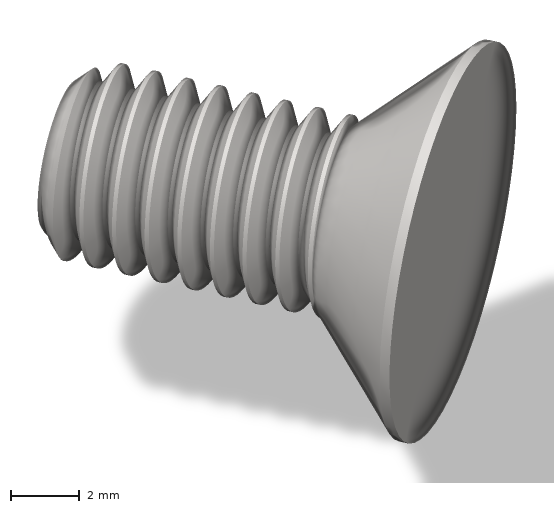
import cadquery as cq
import math

length = 12.0
head_radius = 6.0
rim_thickness = 0.3
major_radius = 3.0
root_radius = 2.35
tip_radius = 2.25

pitch = length / 12
crest_flat = pitch / 8
flank_angle = math.radians(30)
first_crest = 0.85
lead_in_turns = 2
ridge_embed = 0.04

shank_embed = 0.3
rim_start = length - rim_thickness
cone_start = rim_start - (head_radius - root_radius)
shank_end = rim_start - (head_radius - major_radius) + shank_embed


def revolve_about_x(profile):
    """Solid of revolution about X from (x, radius) points."""
    return cq.Workplane("XY").polyline(profile).close().revolve(360, (0, 0, 0), (1, 0, 0))


def make_head():
    """45 degree cone with a short cylindrical rim."""
    return revolve_about_x([
        (cone_start, 0),
        (cone_start, root_radius),
        (rim_start, head_radius),
        (length, head_radius),
        (length, 0),
    ])


def make_shank(radius):
    """Cylinder of the given radius with a 45 degree chamfer down to the tip."""
    return revolve_about_x([
        (0, 0),
        (0, tip_radius),
        (radius - tip_radius, radius),
        (shank_end, radius),
        (shank_end, 0),
    ])


def make_thread_ridge():
    """Helical trapezoid bounded by ruled faces between the helices of its corners."""
    ridge_start = first_crest - lead_in_turns * pitch
    ridge_length = shank_end + pitch / 2 - ridge_start
    foot_radius = root_radius - ridge_embed
    crest_half = crest_flat / 2
    foot_half = crest_half + (major_radius - foot_radius) * math.tan(flank_angle)
    corners = [
        (foot_radius, -foot_half),
        (major_radius, -crest_half),
        (major_radius, crest_half),
        (foot_radius, foot_half),
    ]

    helices = []
    for radius, offset in corners:
        helix = cq.Wire.makeHelix(pitch, ridge_length, radius)
        helices.append(helix.translate(cq.Vector(0, 0, offset)))

    faces = []
    for index, helix in enumerate(helices):
        faces.append(cq.Face.makeRuledSurface(helices[index - 1], helix))
    start_points = [helix.startPoint() for helix in helices]
    end_points = [helix.endPoint() for helix in helices]
    for points in (start_points, end_points):
        faces.append(cq.Face.makeFromWires(cq.Wire.makePolygon(points, close=True)))

    ridge = cq.Workplane(obj=cq.Solid.makeSolid(cq.Shell.makeShell(faces)))
    return ridge.rotate((0, 0, 0), (0, 1, 0), 90).translate((ridge_start, 0, 0))


thread = make_thread_ridge().intersect(make_shank(major_radius))
result = thread.union(make_shank(root_radius)).union(make_head())